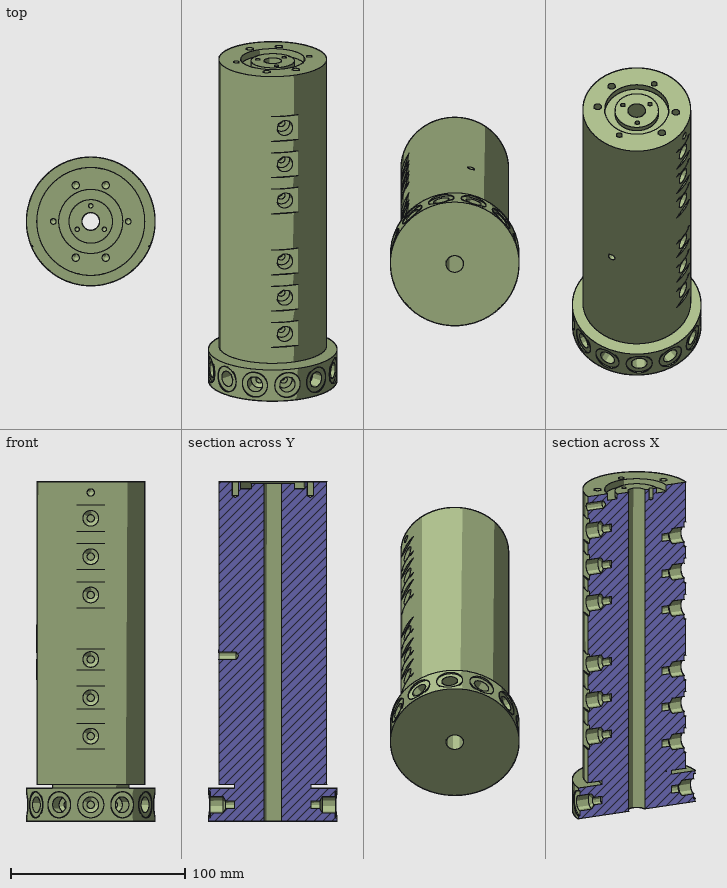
import cadquery as cq
import math

front_angle = -90
back_angle = 90
left_angle = 180

total_height = 195.0
flange_diameter = 74.0
flange_height = 19.0
neck_diameter = 44.0
neck_height = 2.0
body_diameter = 62.0
bore_diameter = 10.0
body_bottom = flange_height + neck_height

groove_outer_diameter = 36.8
boss_diameter = 25.0
groove_depth = 4.0
boss_drop = 1.0

drill_point_angle = 118.0
boss_hole_count = 3
boss_hole_diameter = 2.5
boss_hole_circle = 18.0
boss_hole_depth = 6.0
pin_hole_diameter = 3.3
pin_hole_circle = 43.0
pin_hole_depth = 8.0
cover_hole_diameter = 4.2
cover_hole_circle = 45.0
cover_hole_angle = 67.5
cover_hole_depth = 10.0
side_hole_diameter = 4.2
side_hole_depth = 10.0
front_hole_drop = 6.3
left_hole_drop = 100.0

port_diameter = 9.0
port_depth = 7.5
feed_diameter = 4.2
feed_depth = 14.0

flat_depth = 1.0
flat_height = 15.0
port_pitch = 22.0
upper_group_drop = 21.1
lower_group_drop = 102.1
ports_per_group = 3
back_port_shift = 10.7

lower_front_reaches = [(6.1, 6.1), (6.7, 6.5), (7.1, 7.4)]

flange_port_count = 12
flange_port_height = flange_height / 2
spotface_diameter = 15.0
spotface_depth = 1.0


def disc(diameter, bottom, height):
    """Upright cylinder on the part axis."""
    return cq.Workplane("XY").workplane(offset=bottom).circle(diameter / 2).extrude(height)


def drill(diameter, depth):
    """Cutter starting at the origin and going down Z, with a conical drill point."""
    radius = diameter / 2
    point_depth = depth + radius / math.tan(math.radians(drill_point_angle / 2))
    profile = cq.Workplane("XZ").polyline([(0, 0), (radius, 0), (radius, -depth), (0, -point_depth)])
    return profile.close().revolve(360, (0, 0, 0), (0, 1, 0))


def polar(diameter, angle):
    """Point on a circle about the part axis."""
    turn = math.radians(angle)
    return diameter / 2 * math.cos(turn), diameter / 2 * math.sin(turn)


def aim_inward(cutter, radius, angle, height):
    """Turn a downward cutter so it enters radially from the side at the given angle."""
    sideways = cutter.rotate((0, 0, 0), (0, 1, 0), 90)
    return sideways.translate((radius, 0, height)).rotate((0, 0, 0), (0, 0, 1), angle)


def make_turned_body():
    """Flange, neck and body with the axial bore and the top groove."""
    solid = disc(flange_diameter, 0, flange_height)
    solid = solid.union(disc(neck_diameter, flange_height, neck_height))
    solid = solid.union(disc(body_diameter, body_bottom, total_height - body_bottom))
    groove = disc(groove_outer_diameter, total_height - groove_depth, groove_depth)
    boss = disc(boss_diameter, total_height - groove_depth, groove_depth - boss_drop)
    solid = solid.cut(groove.cut(boss))
    return solid.cut(disc(bore_diameter, 0, total_height))


def cut_top_holes(solid):
    """Drilled holes in the boss and in the top rim."""
    for index in range(boss_hole_count):
        x, y = polar(boss_hole_circle, 90 + index * 360 / boss_hole_count)
        cutter = drill(boss_hole_diameter, boss_hole_depth)
        solid = solid.cut(cutter.translate((x, y, total_height - boss_drop)))
    for angle in (0, 180):
        x, y = polar(pin_hole_circle, angle)
        cutter = drill(pin_hole_diameter, pin_hole_depth)
        solid = solid.cut(cutter.translate((x, y, total_height)))
    for side in (0, 180):
        for angle in (side - cover_hole_angle, side + cover_hole_angle):
            x, y = polar(cover_hole_circle, angle)
            cutter = drill(cover_hole_diameter, cover_hole_depth)
            solid = solid.cut(cutter.translate((x, y, total_height)))
    return solid


def cut_side_holes(solid):
    """Single radial screw holes on the front and on the left of the body."""
    for angle, drop in ((front_angle, front_hole_drop), (left_angle, left_hole_drop)):
        cutter = drill(side_hole_diameter, side_hole_depth)
        solid = solid.cut(aim_inward(cutter, body_diameter / 2, angle, total_height - drop))
    return solid


def port_cutter():
    """Threaded bore with a drill cone and a narrow feed passage."""
    feed = cq.Workplane("XY").circle(feed_diameter / 2).extrude(-feed_depth)
    return drill(port_diameter, port_depth).union(feed)


def cut_body_port(solid, angle, port_height, reach_up, reach_down):
    """One flat with its port, entering the body radially."""
    flat = cq.Workplane("XY").box(reach_up + reach_down, body_diameter, flat_depth, (False, True, False))
    cutter = flat.translate((-reach_up, 0, 0)).union(port_cutter())
    return solid.cut(aim_inward(cutter, body_diameter / 2 - flat_depth, angle, port_height))


def cut_body_ports(solid):
    """Two groups of ports on the front and, shifted down, on the back."""
    even_reaches = [(flat_height / 2, flat_height / 2)] * ports_per_group
    groups = (
        (front_angle, upper_group_drop, even_reaches),
        (front_angle, lower_group_drop, lower_front_reaches),
        (back_angle, upper_group_drop + back_port_shift, even_reaches),
        (back_angle, lower_group_drop + back_port_shift, even_reaches),
    )
    for angle, first_drop, reaches in groups:
        for index, (reach_up, reach_down) in enumerate(reaches):
            port_height = total_height - first_drop - index * port_pitch
            solid = cut_body_port(solid, angle, port_height, reach_up, reach_down)
    return solid


def cut_flange_ports(solid):
    """Ring of spotfaced ports around the flange."""
    spotface = cq.Workplane("XY").circle(spotface_diameter / 2).extrude(spotface_depth)
    cutter = spotface.union(port_cutter())
    for index in range(flange_port_count):
        angle = index * 360 / flange_port_count
        radius = flange_diameter / 2 - spotface_depth
        solid = solid.cut(aim_inward(cutter, radius, angle, flange_port_height))
    return solid


result = make_turned_body()
result = cut_top_holes(result)
result = cut_side_holes(result)
result = cut_body_ports(result)
result = cut_flange_ports(result)